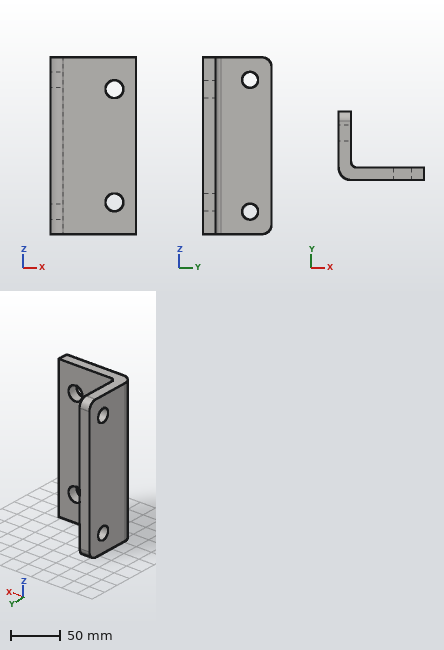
import cadquery as cq

length_x = 87.0
depth_y = 70.0
height = 180.0
thickness = 13.0

outer_bend_radius = 13.0
inner_bend_radius = 5.5
corner_radius = 10.0

hole_edge_distance = 22.0
front_hole_diameter = 18.0
front_hole_spacing = 115.0
side_hole_diameter = 16.0
side_hole_spacing = 134.0


def hole_pair(plane, position, spacing, diameter):
    """Two cylinders through one leg, at one horizontal position on the plane."""
    points = [(position, height / 2 + side * spacing / 2) for side in (-1, 1)]
    return cq.Workplane(plane).pushPoints(points).circle(diameter / 2)


body = (
    cq.Workplane("XY")
    .polyline([
        (0, 0),
        (length_x, 0),
        (length_x, thickness),
        (thickness, thickness),
        (thickness, depth_y),
        (0, depth_y),
    ])
    .close()
    .extrude(height)
)

outer_bend = cq.selectors.NearestToPointSelector((0, 0, height / 2))
inner_bend = cq.selectors.NearestToPointSelector((thickness, thickness, height / 2))
body = body.edges(inner_bend).fillet(inner_bend_radius)
body = body.edges(outer_bend).fillet(outer_bend_radius)

body = body.faces(">Y").edges("|X").fillet(corner_radius)

front_holes = hole_pair(
    "XZ", length_x - hole_edge_distance, front_hole_spacing, front_hole_diameter
).extrude(-thickness)
side_holes = hole_pair(
    "YZ", depth_y - hole_edge_distance, side_hole_spacing, side_hole_diameter
).extrude(thickness)

result = body.cut(front_holes).cut(side_holes)